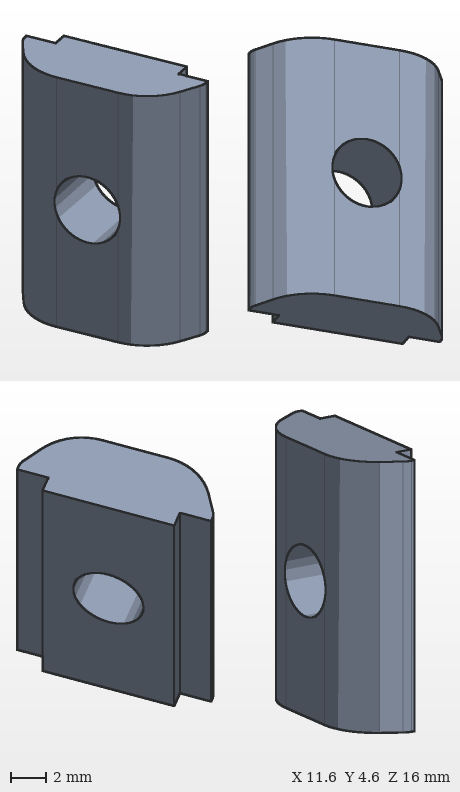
import cadquery as cq
import math

length = 16.0
width = 11.6
depth = 4.6
rib_width = 7.87
rib_height = 1.0
face_width = 8.0
flank_angle = 60.0
front_radius = 3.5
side_radius = 1.0
hole_diameter = 4.2

half_width = width / 2
half_rib = rib_width / 2
half_face = face_width / 2
shoulder_y = depth - rib_height
flank_top_y = (half_width - half_face) * math.tan(math.radians(flank_angle))


def sharp_body():
    """Extrude the T-shaped profile with unrounded corners, centred on Z = 0."""
    right_half = [
        (half_face, 0),
        (half_width, flank_top_y),
        (half_width, shoulder_y),
        (half_rib, shoulder_y),
        (half_rib, depth),
    ]
    left_half = [(-x, y) for x, y in reversed(right_half)]
    profile = cq.Workplane("XY").polyline(right_half + left_half).close()
    return profile.extrude(length / 2, both=True)


def round_edge_pair(body, x, y, radius):
    """Round the two full-length edges at (x, y) and (-x, y)."""
    edges = body.edges(cq.selectors.NearestToPointSelector((x, y, 0)))
    edges = edges.add(body.edges(cq.selectors.NearestToPointSelector((-x, y, 0))))
    return edges.fillet(radius)


def through_hole():
    """Cylinder along Y through the centre of the front face."""
    return cq.Workplane("XZ").circle(hole_diameter / 2).extrude(-depth)


body = sharp_body()
body = round_edge_pair(body, half_face, 0, front_radius)
body = round_edge_pair(body, half_width, flank_top_y, side_radius)
result = body.cut(through_hole())